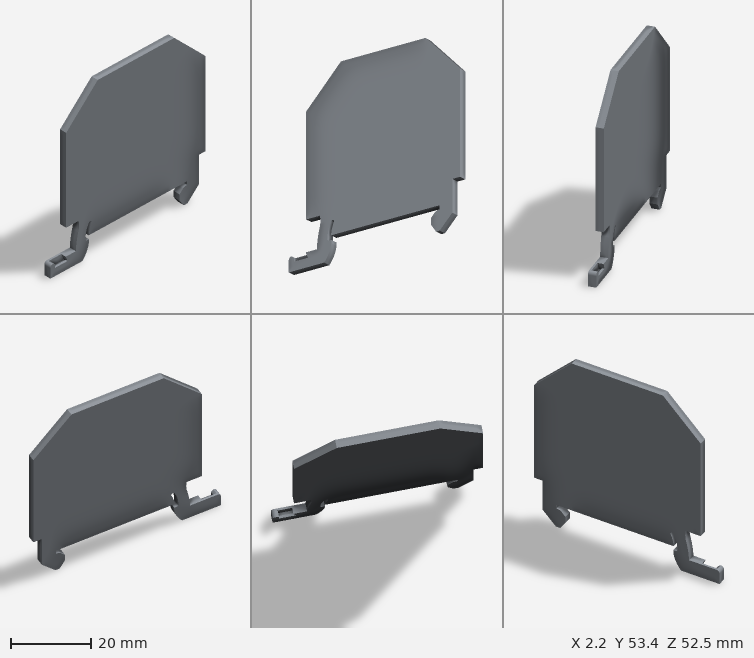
import cadquery as cq

thickness = 2.2

length = 53.35
height = 52.55
plate_front = 5.45
shoulder_z = 12.85
chamfer = 10.85
plate_bottom_z = 6.8

hook_back = 50.95
hook_slope_z = 3.85
hook_foot_back = 47.05
hook_foot_front = 45.9
hook_tip = 44.35
hook_tip_low_z = 2.2
hook_tip_high_z = 4.05
hook_throat = 46.95
hook_throat_z = 5.7
hook_shoulder = (45.65, 5.35)
hook_shoulder_bend = (46.2, 5.6)

slot_mouth = 13.2
slot_inner_bend = (13.5, 8.65)
slot_end_inner = (14.15, 10.35)
slot_end = (13.75, 10.8)
slot_end_outer = (13.2, 10.5)
slot_outer_bend = (12.4, 8.55)
slot_outer = 12.1
slot_outer_z = 6.4
slot_corner = 12.6
slot_corner_z = 6.0
slot_corner_bend = (12.3, 5.65)

arm_root = 9.7
arm_neck = (9.9, 11.5)
arm_knee = (9.55, 9.45)
arm_bend = (9.0, 6.8)
foot_top_z = 4.1
foot_heel = 8.75
foot_sole_back = 11.05
foot_shelf = 13.3
foot_shelf_z = 5.55
foot_curve_z = 4.65
foot_curve_bend = (12.6, 2.35)
tip_radius = 0.9

wall_thickness = 0.6
ledge_width = 0.7
pocket_depth = 1.6
channel_depth = 2.15
undercut_slope = 0.43
pocket_back = 5.3
tip_back = 1.65
tip_drop = 0.55


def make_plate():
    """Plate with the hook, the flexible arm and the foot in one outline."""
    outline = (
        cq.Workplane("YZ")
        .moveTo(plate_front, shoulder_z)
        .lineTo(plate_front, height - chamfer)
        .lineTo(plate_front + chamfer, height)
        .lineTo(length - chamfer, height)
        .lineTo(length, height - chamfer)
        .lineTo(length, shoulder_z)
        .lineTo(hook_back, shoulder_z)
        .lineTo(hook_back, hook_slope_z)
        .lineTo(hook_foot_back, 0)
        .lineTo(hook_foot_front, 0)
        .lineTo(hook_tip, hook_tip_low_z)
        .lineTo(hook_tip, hook_tip_high_z)
        .lineTo(*hook_shoulder)
        .threePointArc(hook_shoulder_bend, (hook_throat, hook_throat_z))
        .lineTo(hook_throat, plate_bottom_z)
        .lineTo(slot_mouth, plate_bottom_z)
        .threePointArc(slot_inner_bend, slot_end_inner)
        .threePointArc(slot_end, slot_end_outer)
        .threePointArc(slot_outer_bend, (slot_outer, slot_outer_z))
        .lineTo(slot_outer, slot_corner_z)
        .threePointArc(slot_corner_bend, (slot_corner, foot_shelf_z))
        .lineTo(foot_shelf, foot_shelf_z)
        .lineTo(foot_shelf, foot_curve_z)
        .threePointArc(foot_curve_bend, (foot_sole_back, 0))
        .lineTo(0, 0)
        .lineTo(0, foot_top_z - tip_radius)
        .radiusArc((tip_radius, foot_top_z), tip_radius)
        .lineTo(foot_heel, foot_top_z)
        .threePointArc(arm_bend, arm_knee)
        .threePointArc(arm_neck, (arm_root, shoulder_z))
        .close()
    )
    return outline.extrude(thickness)


def make_pocket(depth, start, width):
    """Undercut pocket that leaves the foot tip standing, sloped on its back."""
    floor_z = foot_top_z - depth
    return (
        cq.Workplane("YZ", origin=(start, 0, 0))
        .moveTo(tip_back, floor_z)
        .lineTo(tip_back, foot_top_z - tip_drop)
        .lineTo(tip_radius, foot_top_z)
        .lineTo(pocket_back, foot_top_z)
        .lineTo(pocket_back + undercut_slope * depth, floor_z)
        .close()
        .extrude(width)
    )


pocket_width = thickness - wall_thickness
pocket = make_pocket(pocket_depth, wall_thickness, pocket_width)
channel = make_pocket(channel_depth, wall_thickness, pocket_width - ledge_width)

result = make_plate().cut(pocket).cut(channel)